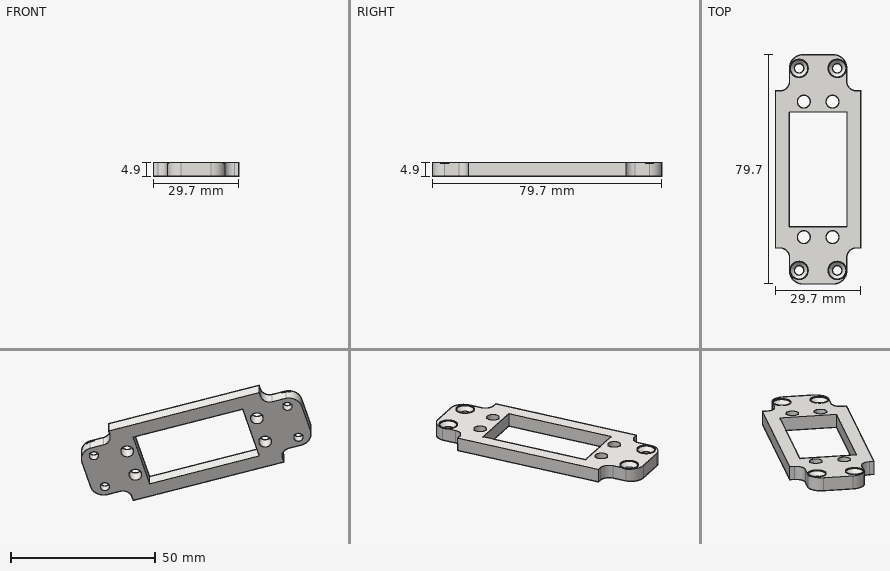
import cadquery as cq

length = 79.7
body_width = 29.7
thickness = 4.9
body_length = 54.6

tab_width = 19.9
tab_corner_radius = 4.8
tab_corner_span_x = 4.8
tab_corner_span_y = 4.3
neck_radius = 3.3

window_width = tab_width
window_length = 39.7

through_diameter = 4.4
through_spacing_x = 10.0
through_spacing_y = 47.0

screw_diameter = 3.2
rim_diameter = 6.4
rim_depth = 0.3
countersink_diameter = 6.0
countersink_angle = 90.0
screw_spacing_x = 13.2
screw_spacing_y = 70.1


def make_plate():
    """One quarter of the outline, mirrored about both axes and extruded."""
    tab_x = tab_width / 2
    body_x = body_width / 2
    body_y = body_length / 2
    end_y = length / 2
    outline = (
        cq.Workplane("XY")
        .moveTo(0, end_y)
        .lineTo(tab_x - tab_corner_span_x, end_y)
        .radiusArc((tab_x, end_y - tab_corner_span_y), tab_corner_radius)
        .lineTo(tab_x, body_y + neck_radius)
        .radiusArc((tab_x + neck_radius, body_y), -neck_radius)
        .lineTo(body_x, body_y)
        .lineTo(body_x, 0)
        .lineTo(0, 0)
        .close()
    )
    quarter = outline.extrude(thickness)
    half = quarter.union(quarter.mirror("YZ"))
    return half.union(half.mirror("XZ")).clean()


def cut_window(plate):
    window = cq.Workplane("XY").rect(window_width, window_length).extrude(thickness)
    return plate.cut(window)


def drill_through_holes(plate):
    top = plate.faces(">Z").workplane(origin=(0, 0, thickness))
    return top.rarray(through_spacing_x, through_spacing_y, 2, 2).hole(through_diameter)


def drill_screw_holes(plate):
    top = plate.faces(">Z").workplane(origin=(0, 0, thickness))
    plate = top.rarray(screw_spacing_x, screw_spacing_y, 2, 2).hole(rim_diameter, rim_depth)
    seat = plate.faces(">Z").workplane(origin=(0, 0, thickness), offset=-rim_depth)
    return seat.rarray(screw_spacing_x, screw_spacing_y, 2, 2).cskHole(
        screw_diameter, countersink_diameter, countersink_angle
    )


plate = make_plate()
plate = cut_window(plate)
plate = drill_through_holes(plate)
result = drill_screw_holes(plate)